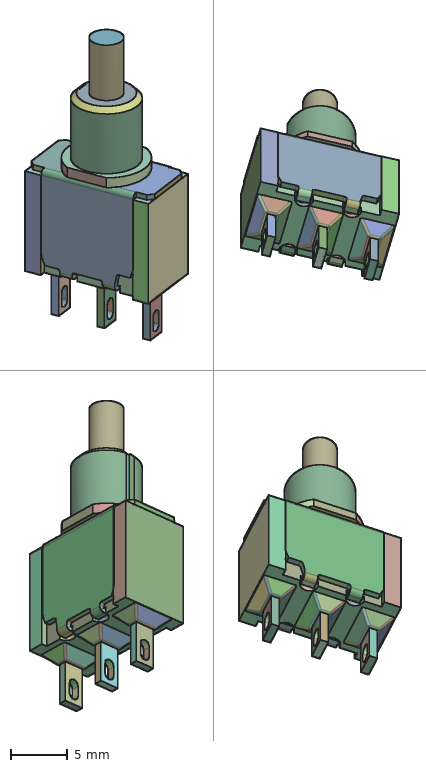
import cadquery as cq
import math


length = 12.7
width = 6.9
height = 28.35

terminal_pitch = 4.7
terminal_thickness = 0.77
terminal_width = 2.0
eyelet_width = 1.0
eyelet_length = 2.0
eyelet_height = 1.53
cone_bottom = 4.0
cone_spread = 1.2
cone_rounding = 0.28

case_bottom = 5.02
case_top = 14.94
post_width = 1.62
panel_setback = 0.09
pocket_radius = 0.85

sheet = 0.5
lid_top = case_top + sheet
panel_length = length - 2 * post_width
panel_half = panel_length / 2
panel_outer_y = width / 2 - panel_setback
panel_inner_y = panel_outer_y - sheet
lid_corner = 0.5

tab_offset = 2.195
tab_width = 1.28
tab_thickness = 0.45
tab_bottom = 5.21
tab_top = tab_bottom + tab_thickness
tab_bend_top = tab_bottom + sheet
tab_reach = 0.5
edge_height = 6.05
edge_slope_run = 0.35
edge_slope_rise = 0.9
notch_height = 7.05
notch_slope_run = 0.23
relief_radius = 0.25

flange_diameter = 8.0
flange_top = 16.4
bushing_diameter = 6.35
bushing_top = 22.85
bushing_chamfer = 0.5
keyway_width = 1.0
keyway_floor = 2.45
rod_diameter = 3.1


def case_block():
    """Block with a shallow recess between the corner posts on each long side."""
    block = cq.Workplane("XY").workplane(offset=case_bottom).rect(length, width)
    block = block.extrude(case_top - case_bottom)
    recess_depth = width / 2 - panel_inner_y
    recesses = (
        cq.Workplane("XY")
        .workplane(offset=case_bottom)
        .pushPoints([(0, side * (width - recess_depth) / 2) for side in (-1, 1)])
        .rect(panel_length, recess_depth)
        .extrude(case_top - case_bottom)
    )
    return block.cut(recesses)


def tab_pockets():
    """Half-round pockets in the lower edge of the case, one around each crimp tab."""
    centres = [(x, y) for x in (-tab_offset, tab_offset) for y in (-panel_inner_y, panel_inner_y)]
    return (
        cq.Workplane("XY")
        .workplane(offset=case_bottom)
        .pushPoints(centres)
        .circle(pocket_radius)
        .extrude(tab_top - case_bottom)
    )


def sealing_cone(x):
    """Rounded pyramid that tapers at 45 degrees down to a terminal."""
    drop = case_bottom - cone_bottom
    return (
        cq.Workplane("XY")
        .workplane(offset=case_bottom)
        .center(x, 0)
        .rect(terminal_thickness + 2 * cone_spread, terminal_width + 2 * cone_spread)
        .extrude(-drop, taper=45)
        .edges("not >Z")
        .fillet(cone_rounding)
    )


def terminal(x):
    """Flat solder lug with an eyelet slot through its thickness."""
    lug = cq.Workplane("XY").center(x, 0).rect(terminal_thickness, terminal_width).extrude(case_bottom)
    eyelet = (
        cq.Workplane("YZ")
        .workplane(offset=x - terminal_thickness)
        .center(0, eyelet_height)
        .slot2D(eyelet_length, eyelet_width, 90)
        .extrude(2 * terminal_thickness)
    )
    return lug.cut(eyelet)


def make_case():
    case = case_block().cut(tab_pockets())
    for x in (-terminal_pitch, 0, terminal_pitch):
        case = case.union(sealing_cone(x)).union(terminal(x))
    return case


def folded_strip():
    """U-shaped sheet over the case, its lower ends bent inward under the side panels."""
    bend = sheet * math.sqrt(0.5)
    inner = panel_inner_y
    outer = panel_outer_y
    tab_end = inner - tab_reach
    half_strip = (
        cq.Workplane("YZ")
        .workplane(offset=-panel_half)
        .moveTo(0, lid_top)
        .lineTo(inner, lid_top)
        .threePointArc((inner + bend, case_top + bend), (outer, case_top))
        .lineTo(outer, tab_bend_top)
        .threePointArc((inner + bend, tab_bend_top - bend), (inner, tab_bottom))
        .lineTo(tab_end, tab_bottom)
        .lineTo(tab_end, tab_top)
        .lineTo(inner, tab_top)
        .lineTo(inner, case_top)
        .lineTo(0, case_top)
        .close()
        .extrude(panel_length)
    )
    return half_strip.union(half_strip.mirror("XZ"))


def panel_outline():
    """Block with the side outline of the panels: stepped lower edge with two tabs."""
    tab_in = tab_offset - tab_width / 2
    tab_out = tab_offset + tab_width / 2
    edge_end = panel_half - edge_slope_run
    notch_start = tab_out + notch_slope_run
    relief_corners = [
        (-tab_out, edge_height),
        (-tab_in, edge_height),
        (tab_in, edge_height),
        (notch_start, notch_height),
    ]
    outline = (
        cq.Workplane("XZ")
        .workplane(offset=-width / 2)
        .polyline([
            (-panel_half, lid_top),
            (-panel_half, edge_height + edge_slope_rise),
            (-edge_end, edge_height),
            (-tab_out, edge_height),
            (-tab_out, tab_bottom),
            (-tab_in, tab_bottom),
            (-tab_in, edge_height),
            (tab_in, edge_height),
            (tab_in, tab_bottom),
            (tab_out, tab_bottom),
            (tab_out, edge_height),
            (notch_start, notch_height),
            (edge_end, notch_height),
            (panel_half, notch_height + edge_slope_rise),
            (panel_half, lid_top),
        ])
        .close()
        .extrude(width)
    )
    for x, z in relief_corners:
        corner = cq.selectors.NearestToPointSelector((x, 0, z))
        outline = outline.edges("|Y").edges(corner).fillet(relief_radius)
    return outline


def lid():
    """Top sheet over the full length of the case, with clipped corners."""
    plate = cq.Workplane("XY").workplane(offset=case_top).rect(length, 2 * panel_inner_y).extrude(sheet)
    return plate.edges("|Z").chamfer(lid_corner)


def flange():
    """Round flange with two flats flush with the long sides."""
    disc = cq.Workplane("XY").workplane(offset=lid_top).circle(flange_diameter / 2)
    disc = disc.extrude(flange_top - lid_top)
    flats = cq.Workplane("XY").workplane(offset=lid_top).rect(length, width)
    return disc.intersect(flats.extrude(flange_top - lid_top))


def bushing():
    """Chamfered sleeve with a keyway along its -X side."""
    sleeve = (
        cq.Workplane("XY")
        .workplane(offset=flange_top)
        .circle(bushing_diameter / 2)
        .extrude(bushing_top - flange_top)
        .faces(">Z")
        .chamfer(bushing_chamfer)
    )
    keyway = (
        cq.Workplane("XY")
        .workplane(offset=flange_top)
        .center(-keyway_floor - bushing_diameter / 2, 0)
        .rect(bushing_diameter, keyway_width)
        .extrude(bushing_top - flange_top)
    )
    return sleeve.cut(keyway)


def push_rod():
    rod = cq.Workplane("XY").workplane(offset=bushing_top).circle(rod_diameter / 2)
    return rod.extrude(height - bushing_top)


def make_bracket():
    sides = folded_strip().intersect(panel_outline())
    return sides.union(lid()).union(flange()).union(bushing()).union(push_rod())


case = make_case()
bracket = make_bracket()

result = cq.Compound.makeCompound([case.solids().val(), bracket.solids().val()])